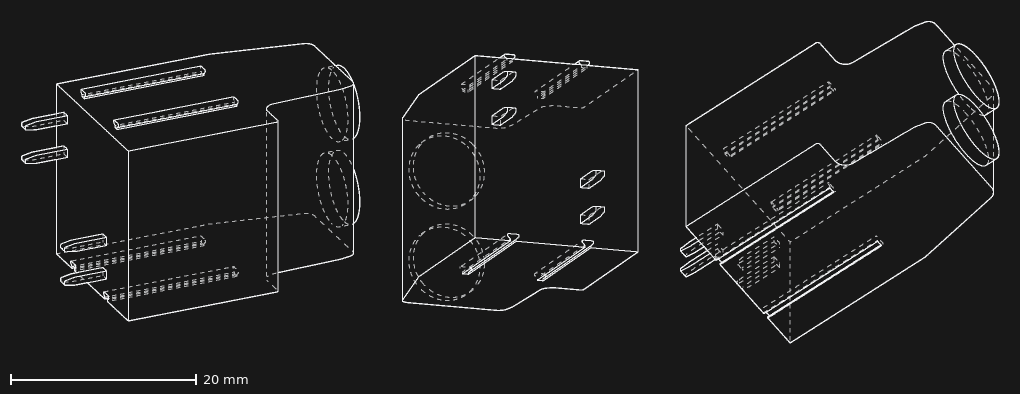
import cadquery as cq

housing_width = 18.7
housing_depth = 29.35
housing_height = 20.3
pole_count = 2
pole_pitch = 10.15

taper_start_depth = 18.22
cap_face_left = 1.95
cap_face_right = 13.57
shoulder_x = 14.0
shoulder_depth = 27.3
step_x = 14.35
step_depth = 17.9
cap_face_radius = 1.0
step_inner_radius = 1.43
step_outer_radius = 0.32

cap_radius = 4.08
cap_height = 1.43
cap_x = 7.4

pins_per_pole = 2
pin_size = 0.95
pin_length = 5.0
pin_straight_length = 3.75
pin_tip_size = 0.5
pin_tip_radius = 0.16
pin_pair_pitch = 4.0
first_pin_z = 3.08
left_pin_x = 2.4
right_pin_x = left_pin_x + pole_pitch

left_rib_x = 4.35
rib_spacing = 8.55
rib_front = 1.18
rib_back = 15.4
rib_height = 0.8
rib_neck_width = 0.6
rib_neck_height = 0.2
rib_edge_radius = 0.18
groove_clearance = 0.05


def make_housing():
    outline = [
        (0, 0),
        (housing_width, 0),
        (housing_width, step_depth),
        (step_x, step_depth),
        (shoulder_x, shoulder_depth),
        (cap_face_right, housing_depth),
        (cap_face_left, housing_depth),
        (0, taper_start_depth),
    ]
    body = cq.Workplane("XY").polyline(outline).close().extrude(housing_height)
    rounded_corners = [
        ((housing_width, step_depth), step_outer_radius),
        ((step_x, step_depth), step_inner_radius),
        ((cap_face_right, housing_depth), cap_face_radius),
        ((cap_face_left, housing_depth), cap_face_radius),
    ]
    for (x, y), radius in rounded_corners:
        corner = cq.selectors.NearestToPointSelector((x, y, housing_height / 2))
        body = body.edges("|Z").edges(corner).fillet(radius)
    return body


def make_cap(z):
    plane = cq.Workplane("XZ", origin=(cap_x, housing_depth, z))
    return plane.circle(cap_radius).extrude(-cap_height)


def make_pin(x, z):
    upper_side = [
        (0, pin_size / 2),
        (-pin_straight_length, pin_size / 2),
        (-pin_length, pin_tip_size / 2),
    ]
    lower_side = [(y, -half_size) for y, half_size in reversed(upper_side)]
    plane = cq.Workplane("YZ", origin=(x, 0, z))
    pin = plane.polyline(upper_side + lower_side).close().extrude(pin_size / 2, both=True)
    return pin.faces("<Y").edges("|X").fillet(pin_tip_radius)


def make_rib(x, z, front, back, clearance=0):
    half_neck = rib_neck_width / 2 + clearance
    half_top = half_neck + rib_height - rib_neck_height
    right_side = [
        (half_neck, 0),
        (half_neck, rib_neck_height),
        (half_top, rib_height),
    ]
    left_side = [(-half_x, height) for half_x, height in reversed(right_side)]
    plane = cq.Workplane("XZ", origin=(x, front, z))
    rib = plane.polyline(right_side + left_side).close().extrude(front - back)
    return rib.faces(">Z").edges("|Y").fillet(rib_edge_radius)


result = make_housing()

for pole in range(pole_count):
    result = result.union(make_cap((pole + 0.5) * pole_pitch))

for pole, pin_x in enumerate([right_pin_x, left_pin_x]):
    for pair_index in range(pins_per_pole):
        pin_z = first_pin_z + pole * pole_pitch + pair_index * pin_pair_pitch
        result = result.union(make_pin(pin_x, pin_z))

for rib_x in [left_rib_x, left_rib_x + rib_spacing]:
    result = result.union(make_rib(rib_x, housing_height, rib_front, rib_back))
    result = result.cut(make_rib(rib_x, 0, 0, rib_back, groove_clearance))